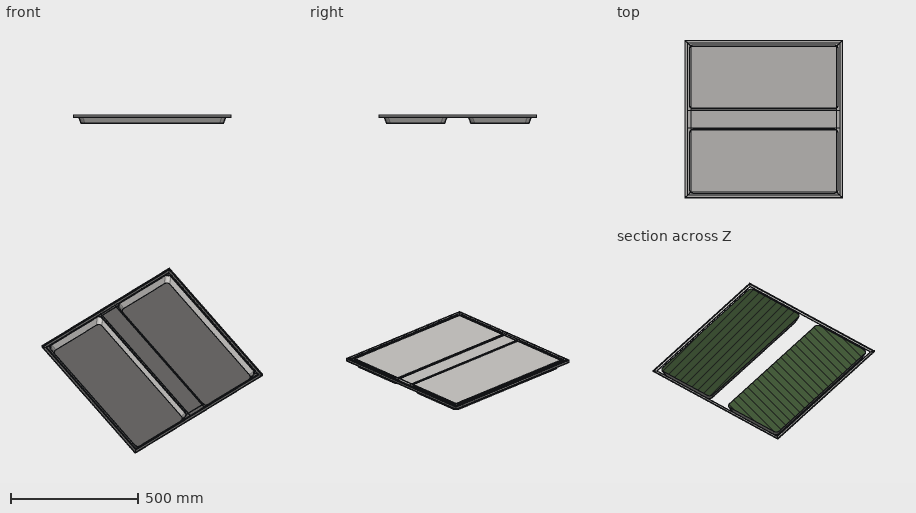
import cadquery as cq
import math

side = 620.0
sheet = 1.0
rail_height = 10.0
lip_width = 23.5
foot_width = 10.5
mitre_angles = (0, 90, 180, 270)

panel_border = 10.5
panel_gap = 68.0
panel_thickness = sheet

cap_width = 86.0

total_height = 34.0
tray_border = 18.0
tray_gap = 79.5
tray_draft = 20.0
tray_corner_radius = 15.5

half_side = side / 2
panel_top = -sheet
tray_top = panel_top - panel_thickness
tray_bottom = -total_height
tray_inset = (tray_top - tray_bottom) * math.tan(math.radians(tray_draft))
sides = (-1, 1)


def span_beside_gap(border, gap):
    """Width and centre of an area from the middle gap to the border on the +Y side."""
    width = half_side - border - gap / 2
    return width, (gap + width) / 2


def slab(length, width, top, thickness, y=0.0):
    """Flat box centred on X = 0, given by its top level and thickness."""
    return cq.Workplane("XY", origin=(0, y, top)).rect(length, width).extrude(-thickness)


def make_rail(angle):
    """One mitred channel of the frame, made along X at the -Y side and turned about Z."""
    outer = -half_side
    lip_edge = outer + lip_width
    foot_edge = outer + foot_width
    web = outer + sheet
    profile = [
        (outer, 0),
        (lip_edge, 0),
        (lip_edge, -sheet),
        (web, -sheet),
        (web, sheet - rail_height),
        (foot_edge, sheet - rail_height),
        (foot_edge, -rail_height),
        (outer, -rail_height),
    ]
    channel = cq.Workplane("YZ").polyline(profile).close().extrude(half_side, both=True)
    mitre_corners = [(0, 0), (-half_side, -half_side), (half_side, -half_side)]
    mitre = cq.Workplane("XY").polyline(mitre_corners).close().extrude(-rail_height)
    return channel.intersect(mitre).rotate((0, 0, 0), (0, 0, 1), angle)


def make_strip():
    """Cap level with the frame, on a core that fills the gap between the panels."""
    cap = slab(side - 2 * lip_width, cap_width, 0, sheet)
    core = slab(side - 2 * panel_border, panel_gap, panel_top, panel_thickness)
    return cap.union(core)


def make_panel(direction):
    """Flat panel whose edges lie below the frame lip and the strip cap."""
    width, centre = span_beside_gap(panel_border, panel_gap)
    return slab(side - 2 * panel_border, width, panel_top, panel_thickness, direction * centre)


def tray_outline(inset):
    """Rounded rectangle of a tray, drawn in from its rim by the inset."""
    width, _ = span_beside_gap(tray_border, tray_gap)
    length = side - 2 * tray_border
    outline = cq.Sketch().rect(length - 2 * inset, width - 2 * inset)
    return outline.vertices().fillet(tray_corner_radius)


def make_tray(direction):
    """Tapered tray with rounded corners, from the panel's underside to the bottom."""
    _, centre = span_beside_gap(tray_border, tray_gap)
    drop = cq.Location(cq.Vector(0, 0, tray_bottom - tray_top))
    bottom_outline = tray_outline(tray_inset).moved(drop)
    rim = cq.Workplane("XY", origin=(0, direction * centre, tray_top))
    return rim.placeSketch(tray_outline(0), bottom_outline).loft()


rails = [make_rail(angle) for angle in mitre_angles]
strip = make_strip()
panels = [make_panel(direction) for direction in sides]
trays = [make_tray(direction) for direction in sides]

result = cq.Compound.makeCompound(
    [
        *[rail.val() for rail in rails],
        strip.val(),
        *[panel.val() for panel in panels],
        *[tray.val() for tray in trays],
    ]
)